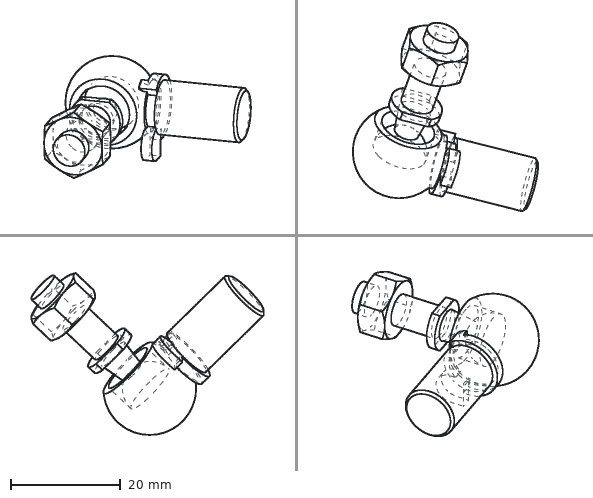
import cadquery as cq
import math

head_radius = 8.45
opening_face_y = -5.58
shank_radius = 5.0
shank_end_x = 25.05
shank_chamfer = 0.5
shank_fillet = 1.0
bore_radius = 5.0

clip_start_x = 7.5
clip_end_x = 9.55
clip_outer_radius = 6.0
groove_start_x = 7.6
groove_radius = 4.0
clip_end_angle = 129.5
tooth_span_angle = 20.0
tooth_start_x = 6.2
tab_radius = 3.02
tab_center_y = -3.65
tab_center_z = -clip_outer_radius
tab_edge_y = -1.05

ball_radius = 5.0
neck_radius = 2.25
collar_start_y = -9.35
collar_end_y = -11.0
collar_radius = 4.82
collar_half_flats = 4.0
stud_radius = 6.0 / 2
stud_end_y = -27.3
overall_length = 36.0
tip_y = head_radius - overall_length

nut_start_y = -19.25
nut_end_y = -24.8
nut_across_flats = 11.0
nut_chamfer_angle = 30.0


def cylinder_x(radius, start, end):
    """Cylinder on the X axis between two X positions."""
    return cq.Workplane("YZ").workplane(offset=start).circle(radius).extrude(end - start)


def cylinder_y(radius, start, end):
    """Cylinder on the Y axis, running from start down to end."""
    return cq.Workplane("XZ").workplane(offset=-start).circle(radius).extrude(start - end)


def make_head():
    """Ball head blended into the chamfered shank, turned about X."""
    blend_x = math.sqrt((head_radius + shank_fillet) ** 2 - (shank_radius + shank_fillet) ** 2)
    blend_r = shank_radius + shank_fillet
    sphere_share = head_radius / (head_radius + shank_fillet)
    touch = (blend_x * sphere_share, blend_r * sphere_share)
    middle_angle = (math.atan2(-blend_r, -blend_x) - math.pi / 2) / 2
    blend_middle = (
        blend_x + shank_fillet * math.cos(middle_angle),
        blend_r + shank_fillet * math.sin(middle_angle),
    )
    head = (
        cq.Workplane("XY")
        .moveTo(-head_radius, 0)
        .threePointArc((0, head_radius), touch)
        .threePointArc(blend_middle, (blend_x, shank_radius))
        .lineTo(shank_end_x - shank_chamfer, shank_radius)
        .lineTo(shank_end_x, shank_radius - shank_chamfer)
        .lineTo(shank_end_x, 0)
        .close()
        .revolve(360, (0, 0, 0), (1, 0, 0))
    )
    head = head.cut(cylinder_y(2 * head_radius, opening_face_y, -2 * head_radius))
    groove = cylinder_x(shank_radius + shank_fillet, groove_start_x, clip_end_x)
    groove = groove.cut(cylinder_x(groove_radius, groove_start_x, clip_end_x))
    bore = cylinder_y(bore_radius, 0, opening_face_y)
    return head.cut(groove).cut(bore)


def ring_sector(start_x, end_x, start_angle, end_angle):
    """Part of the clip ring between two angles measured from +Y towards +Z."""

    def point(radius, angle):
        return radius * math.cos(math.radians(angle)), radius * math.sin(math.radians(angle))

    middle_angle = (start_angle + end_angle) / 2
    return (
        cq.Workplane("YZ")
        .workplane(offset=start_x)
        .moveTo(*point(groove_radius, start_angle))
        .lineTo(*point(clip_outer_radius, start_angle))
        .threePointArc(point(clip_outer_radius, middle_angle), point(clip_outer_radius, end_angle))
        .lineTo(*point(groove_radius, end_angle))
        .threePointArc(point(groove_radius, middle_angle), point(groove_radius, start_angle))
        .close()
        .extrude(end_x - start_x)
    )


def make_clip():
    """Clip ring with a tooth at its free end and a round tab at the bottom."""
    bottom_angle = -math.degrees(math.acos(tab_edge_y / clip_outer_radius))
    ring = ring_sector(clip_start_x, clip_end_x, bottom_angle, clip_end_angle)
    tooth = ring_sector(tooth_start_x, clip_end_x, clip_end_angle - tooth_span_angle, clip_end_angle)
    tab = (
        cq.Workplane("YZ")
        .workplane(offset=clip_start_x)
        .moveTo(tab_edge_y, tab_center_z - tab_radius)
        .lineTo(tab_center_y, tab_center_z - tab_radius)
        .threePointArc(
            (tab_center_y - tab_radius, tab_center_z),
            (tab_center_y, tab_center_z + tab_radius),
        )
        .lineTo(tab_edge_y, tab_center_z + tab_radius)
        .close()
        .extrude(clip_end_x - clip_start_x)
    )
    tab = tab.cut(cylinder_x(groove_radius, clip_start_x, clip_end_x))
    return ring.union(tooth).union(tab)


def make_stud():
    """Ball, neck, cone and pin turned about Y, with a two-flat collar."""
    neck_y = -math.sqrt(ball_radius**2 - neck_radius**2)
    pin = (
        cq.Workplane("XY")
        .moveTo(0, ball_radius)
        .threePointArc((ball_radius, 0), (neck_radius, neck_y))
        .lineTo(stud_radius, collar_start_y)
        .lineTo(stud_radius, stud_end_y)
        .lineTo(0, tip_y)
        .close()
        .revolve(360, (0, 0, 0), (0, 1, 0))
    )
    collar_length = collar_start_y - collar_end_y
    flats = cq.Workplane("XY").box(2 * collar_radius, collar_length, 2 * collar_half_flats)
    flats = flats.translate((0, (collar_start_y + collar_end_y) / 2, 0))
    collar = cylinder_y(collar_radius, collar_start_y, collar_end_y).intersect(flats)
    return pin.union(collar)


def make_nut():
    """Hexagon nut with corners up and down, its corners chamfered at both ends."""
    face_radius = nut_across_flats / 2
    corner_radius = face_radius / math.cos(math.radians(180 / 6))
    chamfer_height = (corner_radius - face_radius) * math.tan(math.radians(nut_chamfer_angle))
    hexagon = (
        cq.Workplane("XZ")
        .workplane(offset=-nut_start_y)
        .transformed(rotate=(0, 0, 90))
        .polygon(6, 2 * corner_radius)
        .extrude(nut_start_y - nut_end_y)
    )
    envelope = (
        cq.Workplane("XY")
        .moveTo(0, nut_start_y)
        .lineTo(face_radius, nut_start_y)
        .lineTo(corner_radius, nut_start_y - chamfer_height)
        .lineTo(corner_radius, nut_end_y + chamfer_height)
        .lineTo(face_radius, nut_end_y)
        .lineTo(0, nut_end_y)
        .close()
        .revolve(360, (0, 0, 0), (0, 1, 0))
    )
    return hexagon.intersect(envelope)


result = make_head().union(make_clip()).union(make_stud()).union(make_nut())